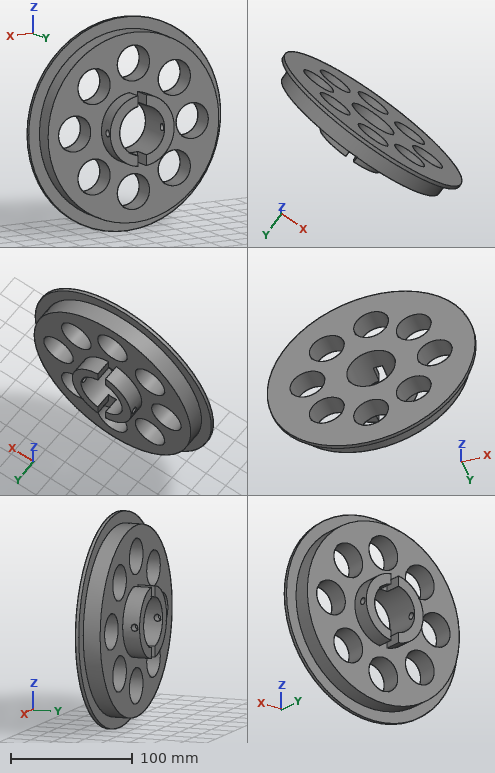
import cadquery as cq

flange_diameter = 180.0
flange_thickness = 3.0
body_diameter = 160.0
body_thickness = 15.0
hub_diameter = 60.0
hub_length = 15.0
bore_diameter = 42.0
hub_slot_width = 8.0
pin_hole_diameter = 5.8
pin_hole_from_hub_end = 4.5
window_diameter = 30.0

upright_offset = 54.0
side_offset = 55.0
diagonal_rise = 38.0
diagonal_left = 38.3
diagonal_right = 36.9
window_centers = [
    (0, upright_offset),
    (0, -upright_offset),
    (side_offset, 0),
    (-side_offset, 0),
    (-diagonal_left, diagonal_rise),
    (-diagonal_left, -diagonal_rise),
    (diagonal_right, diagonal_rise),
    (diagonal_right, -diagonal_rise),
]

body_end = flange_thickness + body_thickness
hub_end = body_end + hub_length


def cylinder_along_y(diameter, start, length, x=0, z=0):
    """Solid cylinder parallel to Y, reaching from start towards +Y."""
    base = cq.Workplane("XZ", origin=(x, start, z))
    return base.circle(diameter / 2).extrude(-length)


wheel = cylinder_along_y(flange_diameter, 0, flange_thickness)
wheel = wheel.union(cylinder_along_y(body_diameter, flange_thickness, body_thickness))
wheel = wheel.union(cylinder_along_y(hub_diameter, body_end, hub_length))

wheel = wheel.cut(cylinder_along_y(bore_diameter, 0, hub_end))
for x, z in window_centers:
    wheel = wheel.cut(cylinder_along_y(window_diameter, 0, body_end, x, z))

hub_slot = cq.Workplane("XY").box(hub_slot_width, hub_length, hub_diameter)
wheel = wheel.cut(hub_slot.translate((0, body_end + hub_length / 2, 0)))

pin_hole = (
    cq.Workplane("YZ")
    .center(hub_end - pin_hole_from_hub_end, 0)
    .circle(pin_hole_diameter / 2)
    .extrude(hub_diameter / 2, both=True)
)
result = wheel.cut(pin_hole)